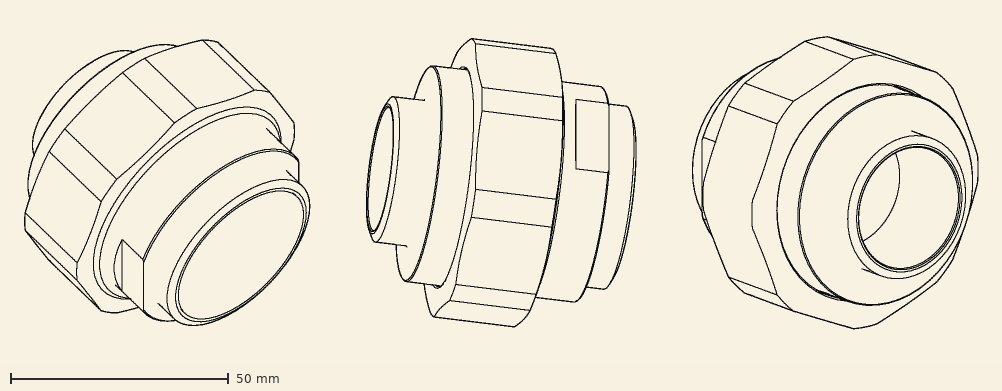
import cadquery as cq
import math


tailpiece_face = 9.0
nut_start = 16.5
nut_end = 36.55
thread_end = 37.6
flat_start = 41.1
body_end = 48.9
union_length = 56.0

tail_bore_radius = 28.5 / 2
tail_tube_radius = 33.7 / 2
tail_bore_chamfer = 0.25
tail_fillet = 1.0
tail_bevel_length = 1.0
tail_bevel_depth = 1.8
flange_chamfer = 0.25
barrel_radius = 50.0 / 2
shoulder_radius = 54.4 / 2
shoulder_length = 3.25

nut_corner_radius = 64.7 / 2
nut_flat_distance = 31.0
nut_sides = 8
nut_bevel_length = 0.6
nut_face_radius = 30.5
lip_bore_radius = 50.5 / 2
lip_thickness = 3.25
lip_chamfer = 0.4

body_bore_radius = 37.2 / 2
body_tube_radius = 42.4 / 2
thread_radius = 55.8 / 2
thread_chamfer = 1.05
body_fillet = 0.8
body_bevel_length = 0.9
body_bevel_depth = 1.8
body_edge_chamfer = 0.3
flat_distance = 23.0
flat_wall_angle = 15

shoulder_start = nut_start + lip_thickness
joint = shoulder_start + shoulder_length

DIAGONAL = math.sqrt(0.5)


def revolve_about_x(profile):
    """Turn a closed (x, radius) profile about the X axis."""
    return profile.close().revolve(360, (0, 0, 0), (1, 0, 0))


def make_tailpiece():
    """Beveled tube with a root fillet, a wide barrel and a retained shoulder."""
    fillet_center = (tailpiece_face - tail_fillet, tail_tube_radius + tail_fillet)
    profile = (
        cq.Workplane("XY")
        .moveTo(tail_bore_chamfer, tail_bore_radius)
        .lineTo(0, tail_bore_radius + tail_bore_chamfer)
        .lineTo(0, tail_tube_radius - tail_bevel_depth)
        .lineTo(tail_bevel_length, tail_tube_radius)
        .lineTo(tailpiece_face - tail_fillet, tail_tube_radius)
        .threePointArc(
            (fillet_center[0] + tail_fillet * DIAGONAL, fillet_center[1] - tail_fillet * DIAGONAL),
            (tailpiece_face, tail_tube_radius + tail_fillet),
        )
        .lineTo(tailpiece_face, barrel_radius - flange_chamfer)
        .lineTo(tailpiece_face + flange_chamfer, barrel_radius)
        .lineTo(shoulder_start, barrel_radius)
        .lineTo(shoulder_start, shoulder_radius)
        .lineTo(joint, shoulder_radius)
        .lineTo(joint, tail_bore_radius)
    )
    return revolve_about_x(profile)


def make_nut():
    """Octagonal nut with round corners, beveled ends and a retaining lip."""
    envelope = revolve_about_x(
        cq.Workplane("XY")
        .moveTo(nut_start, 0)
        .lineTo(nut_start, nut_face_radius)
        .lineTo(nut_start + nut_bevel_length, nut_corner_radius)
        .lineTo(nut_end - nut_bevel_length, nut_corner_radius)
        .lineTo(nut_end, nut_face_radius)
        .lineTo(nut_end, 0)
    )
    across_corners = 2 * nut_flat_distance / math.cos(math.pi / nut_sides)
    octagon = (
        cq.Workplane("YZ")
        .workplane(offset=nut_start)
        .polygon(nut_sides, across_corners)
        .extrude(nut_end - nut_start)
    )
    opening = revolve_about_x(
        cq.Workplane("XY")
        .moveTo(nut_start, 0)
        .lineTo(nut_start, lip_bore_radius + lip_chamfer)
        .lineTo(nut_start + lip_chamfer, lip_bore_radius)
        .lineTo(shoulder_start, lip_bore_radius)
        .lineTo(shoulder_start, thread_radius)
        .lineTo(nut_end, thread_radius)
        .lineTo(nut_end, 0)
    )
    return envelope.intersect(octagon).cut(opening)


def make_flat_cutter():
    """Prism that cuts the wrench flat on the +Y side, with a sloping end wall."""
    top = nut_corner_radius
    wall_run = (top - flat_distance) * math.tan(math.radians(flat_wall_angle))
    return (
        cq.Workplane("XY")
        .moveTo(flat_start, flat_distance)
        .lineTo(flat_start - wall_run, top)
        .lineTo(body_end, top)
        .lineTo(body_end, flat_distance)
        .close()
        .extrude(nut_corner_radius, both=True)
    )


def make_threaded_body():
    """Thread envelope, barrel with two wrench flats, and a beveled tube."""
    barrel_start = thread_end + body_fillet
    tube_start = body_end + body_fillet
    arc_inset = body_fillet * (1 - DIAGONAL)
    profile = (
        cq.Workplane("XY")
        .moveTo(joint, body_bore_radius)
        .lineTo(joint, thread_radius)
        .lineTo(thread_end - thread_chamfer, thread_radius)
        .lineTo(thread_end, thread_radius - thread_chamfer)
        .lineTo(thread_end, barrel_radius + body_fillet)
        .threePointArc(
            (thread_end + arc_inset, barrel_radius + arc_inset),
            (barrel_start, barrel_radius),
        )
        .lineTo(body_end - body_edge_chamfer, barrel_radius)
        .lineTo(body_end, barrel_radius - body_edge_chamfer)
        .lineTo(body_end, body_tube_radius + body_fillet)
        .threePointArc(
            (body_end + arc_inset, body_tube_radius + arc_inset),
            (tube_start, body_tube_radius),
        )
        .lineTo(union_length - body_bevel_length, body_tube_radius)
        .lineTo(union_length, body_tube_radius - body_bevel_depth)
        .lineTo(union_length, body_bore_radius)
    )
    body = revolve_about_x(profile)
    for turn in (0, 180):
        body = body.cut(make_flat_cutter().rotate((0, 0, 0), (1, 0, 0), turn))
    return body


tailpiece = make_tailpiece()
nut = make_nut()
threaded_body = make_threaded_body()

result = cq.Compound.makeCompound([tailpiece.val(), nut.val(), threaded_body.val()])